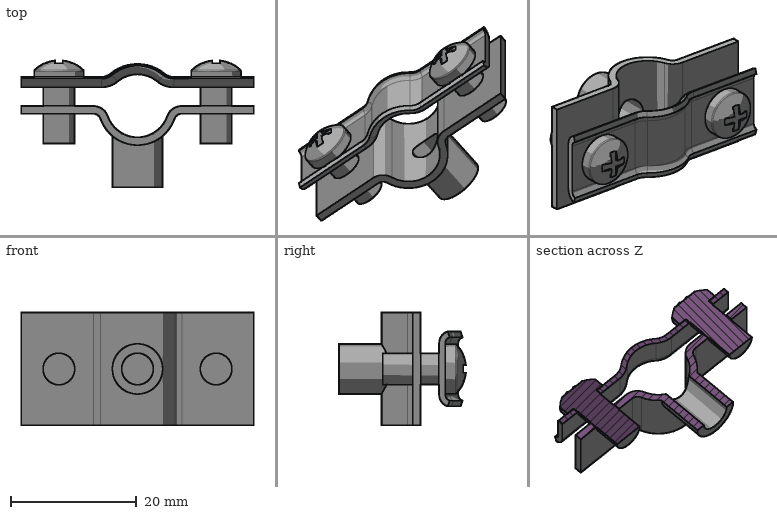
import cadquery as cq
import math


clamp_length = 37.0
half_length = clamp_length / 2
pipe_radius = 5.0
screw_spacing = 25.0
shank_radius = 2.5

saddle_height = 18.0
saddle_thickness = 1.25
saddle_inner_bend = 1.25
saddle_outer_bend = saddle_inner_bend + saddle_thickness
saddle_rear_y = 0.0
boss_radius = 4.0
bore_radius = 2.5
boss_end_y = -13.0

strap_front_y = 2.92
strap_thickness = 1.0
strap_bend = 4.0
strap_rear_y = strap_front_y + strap_thickness
strap_flat_height = 8.15
curl_outer_radius = 2.0
curl_inner_radius = curl_outer_radius - strap_thickness
curl_angle = 72.0

shank_end_y = -6.0
head_radius = 3.95
head_side_height = 1.7
head_top_y = 7.3
rim_radius = 0.35
slot_width = 1.2
slot_floor_y = 6.8


def polar(center, radius, degrees):
    """Point on a circle, the angle being measured from its first axis."""
    angle = math.radians(degrees)
    return (center[0] + radius * math.cos(angle), center[1] + radius * math.sin(angle))


def mirrored(point):
    """Mirror a profile point across the middle of the clamp."""
    return (-point[0], point[1])


def along_y(radius, start_y, end_y, x=0.0):
    """Cylinder parallel to Y."""
    axis = cq.Vector(0, 1, 0)
    return cq.Workplane(cq.Solid.makeCylinder(radius, end_y - start_y, cq.Vector(x, start_y, 0), axis))


def screw_positions():
    return [-screw_spacing / 2, screw_spacing / 2]


def drill_screw_holes(plate, start_y, end_y):
    for x in screw_positions():
        plate = plate.cut(along_y(shank_radius, start_y, end_y, x))
    return plate


def make_saddle():
    """Flat wings bent round half of the pipe, with a bored boss on the front."""
    front_y = saddle_rear_y - saddle_thickness
    shell_radius = pipe_radius + saddle_thickness
    bend_y = saddle_rear_y - saddle_outer_bend
    bend_x = math.sqrt((pipe_radius + saddle_outer_bend) ** 2 - bend_y ** 2)
    bend_center = (-bend_x, bend_y)
    seam_angle = math.degrees(math.atan2(-bend_y, bend_x))
    middle_angle = (90 + seam_angle) / 2
    rear_seam = polar(bend_center, saddle_outer_bend, seam_angle)
    rear_middle = polar(bend_center, saddle_outer_bend, middle_angle)
    front_seam = polar(bend_center, saddle_inner_bend, seam_angle)
    front_middle = polar(bend_center, saddle_inner_bend, middle_angle)

    saddle = (
        cq.Workplane("XY")
        .workplane(offset=-saddle_height / 2)
        .moveTo(-half_length, saddle_rear_y)
        .lineTo(-bend_x, saddle_rear_y)
        .threePointArc(rear_middle, rear_seam)
        .threePointArc((0, -pipe_radius), mirrored(rear_seam))
        .threePointArc(mirrored(rear_middle), (bend_x, saddle_rear_y))
        .lineTo(half_length, saddle_rear_y)
        .lineTo(half_length, front_y)
        .lineTo(bend_x, front_y)
        .threePointArc(mirrored(front_middle), mirrored(front_seam))
        .threePointArc((0, -shell_radius), front_seam)
        .threePointArc(front_middle, (-bend_x, front_y))
        .lineTo(-half_length, front_y)
        .close()
        .extrude(saddle_height)
    )
    shell_middle = cq.Workplane("XY").circle(pipe_radius + saddle_thickness / 2)
    boss = along_y(boss_radius, boss_end_y, 0).cut(shell_middle.extrude(saddle_height, both=True))
    saddle = saddle.union(boss)
    saddle = saddle.cut(along_y(bore_radius, boss_end_y, 0))
    return drill_screw_holes(saddle, front_y, saddle_rear_y)


def strap_path():
    """Front face line of the strap: flat, bend, arch over the pipe, bend, flat."""
    bend_y = strap_front_y + strap_bend
    bend_x = math.sqrt((pipe_radius + strap_bend) ** 2 - bend_y ** 2)
    bend_center = (-bend_x, bend_y)
    seam_angle = -math.degrees(math.atan2(bend_y, bend_x))
    seam = polar(bend_center, strap_bend, seam_angle)
    middle = polar(bend_center, strap_bend, (seam_angle - 90) / 2)
    return (
        cq.Workplane("XY")
        .moveTo(-half_length, strap_front_y)
        .lineTo(-bend_x, strap_front_y)
        .threePointArc(middle, seam)
        .threePointArc((0, pipe_radius), mirrored(seam))
        .threePointArc(mirrored(middle), (bend_x, strap_front_y))
        .lineTo(half_length, strap_front_y)
    )


def make_strap():
    """Curled channel section swept along the bent path."""
    curl_z = strap_flat_height / 2
    top_center = (strap_front_y + curl_outer_radius, curl_z)
    end_angle = 180 - curl_angle
    middle_angle = 180 - curl_angle / 2
    outer_middle = polar(top_center, curl_outer_radius, middle_angle)
    outer_tip = polar(top_center, curl_outer_radius, end_angle)
    inner_middle = polar(top_center, curl_inner_radius, middle_angle)
    inner_tip = polar(top_center, curl_inner_radius, end_angle)

    def lower(point):
        return (point[0], -point[1])

    section = (
        cq.Workplane("YZ", origin=(-half_length, 0, 0))
        .moveTo(strap_front_y, -curl_z)
        .lineTo(strap_front_y, curl_z)
        .threePointArc(outer_middle, outer_tip)
        .lineTo(*inner_tip)
        .threePointArc(inner_middle, (strap_rear_y, curl_z))
        .lineTo(strap_rear_y, -curl_z)
        .threePointArc(lower(inner_middle), lower(inner_tip))
        .lineTo(*lower(outer_tip))
        .threePointArc(lower(outer_middle), (strap_front_y, -curl_z))
        .close()
    )
    strap = section.sweep(strap_path())
    return drill_screw_holes(strap, strap_front_y, strap_rear_y)


def make_screw(x):
    """Domed, cross-slotted head behind the strap with a plain shank to the front."""
    side_top_y = strap_rear_y + head_side_height
    dome_rise = head_top_y - side_top_y
    dome_radius = (head_radius ** 2 + dome_rise ** 2) / (2 * dome_rise)
    half_angle = math.degrees(math.asin(head_radius / dome_radius))
    dome_middle = polar((0, head_top_y - dome_radius), dome_radius, 90 - half_angle / 2)
    head = (
        cq.Workplane("XY")
        .moveTo(0, strap_rear_y)
        .lineTo(head_radius, strap_rear_y)
        .lineTo(head_radius, side_top_y)
        .threePointArc(dome_middle, (0, head_top_y))
        .close()
        .revolve(360, (0, 0), (0, 1))
    )
    rim = cq.selectors.BoxSelector(
        (-2 * head_radius, side_top_y - rim_radius, -2 * head_radius),
        (2 * head_radius, side_top_y + rim_radius, 2 * head_radius),
    )
    head = head.edges(rim).edges("%CIRCLE").fillet(rim_radius)
    slot_depth = head_top_y - slot_floor_y
    slot_y = (slot_floor_y + head_top_y) / 2
    slot = cq.Workplane("XY").box(2 * head_radius, slot_depth, slot_width)
    slot = slot.union(cq.Workplane("XY").box(slot_width, slot_depth, 2 * head_radius))
    head = head.cut(slot.translate((0, slot_y, 0)))
    return head.translate((x, 0, 0)).union(along_y(shank_radius, shank_end_y, strap_rear_y, x))


saddle = make_saddle()
strap = make_strap()
screws = [make_screw(x) for x in screw_positions()]

result = cq.Compound.makeCompound([saddle.val(), strap.val(), *[screw.val() for screw in screws]])